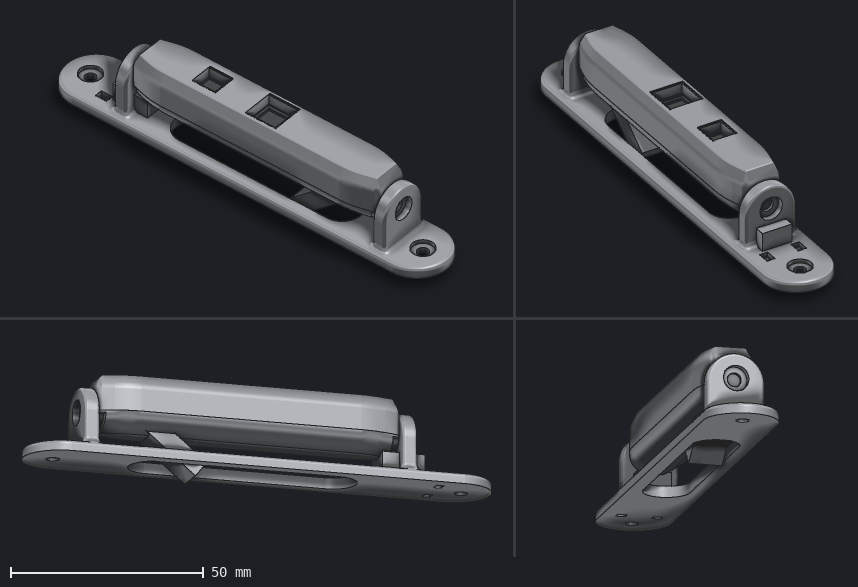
import cadquery as cq
import math

base_length = 127.4
base_width = 20.0
base_thickness = 3.0
base_edge_round = 1.2
screw_spacing = 111.4
screw_diameter = 3.4
screw_head_diameter = 6.8
screw_head_depth = 1.2
slot_length = 62.0
slot_width = 12.5
snap_hole_x = -47.3
snap_hole_y = 4.8
snap_hole_length = 3.6
snap_hole_width = 2.4
snap_hole_opening = 1.9
snap_step_depth = 1.5

handle_x = 3.9
ear_gap = 82.7
ear_thickness = 4.0
ear_width = 15.4
ear_arc_z = 12.0
ear_edge_round = 0.8
ear_foot_radius = 1.9
axis_z = 13.0
pin_diameter = 3.7
pin_head_diameter = 6.8
pin_head_depth = 1.9
pin_recess = 1.0
pin_reach = 5.0

handle_width = 15.4
handle_straight = 60.0
handle_arc_length = 6.9
handle_nose_drop = 1.0
handle_corner_radius = 1.75
handle_bottom_z = 7.6
split_z = 12.8
cover_shoulder_z = 19.5
cover_top_z = 22.8
cover_draft = 27.0
cover_shoulder_round = 3.5
cover_top_round = 0.6
lower_rim = 0.6
lower_length = 78.4
lower_bevel_height = 2.9
lower_bevel_width = 4.4
lower_bevel_round = 4.2
collar_radius = 4.2

small_window_x = -14.75
small_window_size = (7.7, 7.3)
large_window_x = 5.35
large_window_size = (10.0, 10.0)
window_ledge = 0.4
window_ledge_depth = 0.3
window_depth = 3.3
tray_pocket_depth = 0.8
tray_thickness = 1.6
tray_border = 0.8
large_tray_clearance = 1.4

block_start_x = -44.5
block_length = 11.6
block_width = 9.0
block_top_z = 8.4
prop_tip = (18.2, -2.5)
prop_angle = 39.5
prop_thickness = 5.0
prop_length = 17.6

near = 0.05

handle_half_length = ear_gap / 2
handle_half_width = handle_width / 2
ear_inner_faces = [(handle_x - handle_half_length, -1), (handle_x + handle_half_length, 1)]

windows = [
    (small_window_x, small_window_size, 0.0),
    (large_window_x, large_window_size, large_tray_clearance),
]


def box(x0, x1, y0, y1, z0, z1):
    return cq.Workplane("XY").box(x1 - x0, y1 - y0, z1 - z0, centered=False).translate((x0, y0, z0))


def x_cylinder(diameter, x0, length):
    """Cylinder along X on the pivot axis, growing by a signed length from x0."""
    return cq.Workplane("YZ", origin=(x0, 0, axis_z)).circle(diameter / 2).extrude(length)


def make_block():
    return box(block_start_x, block_start_x + block_length, -block_width / 2, block_width / 2,
               base_thickness, block_top_z)


def make_prop():
    angle = math.radians(prop_angle)
    along = (math.cos(angle), math.sin(angle))
    tip_x, tip_z = prop_tip
    far = (tip_x + prop_length * along[0], tip_z + prop_length * along[1])
    step = (-prop_thickness * along[1], prop_thickness * along[0])
    outline = [prop_tip, far, (far[0] + step[0], far[1] + step[1]), (tip_x + step[0], tip_z + step[1])]
    return cq.Workplane("XZ").polyline(outline).close().extrude(block_width / 2, both=True)


def make_ear(inner_x, side):
    half = ear_width / 2
    ear = (
        cq.Workplane("YZ", origin=(inner_x, 0, 0))
        .moveTo(-half, base_thickness / 2)
        .lineTo(-half, ear_arc_z)
        .threePointArc((0, ear_arc_z + half), (half, ear_arc_z))
        .lineTo(half, base_thickness / 2)
        .close()
        .extrude(side * ear_thickness)
    )
    return ear.faces("<X or >X").edges("not <Z").fillet(ear_edge_round)


def round_ear_feet(plate):
    """Blend both ears into the top of the plate."""
    low = (-screw_spacing / 2, -ear_width / 2 - near, base_thickness - near)
    high = (screw_spacing / 2, ear_width / 2 + near, base_thickness + near)
    return plate.edges(cq.selectors.BoxSelector(low, high)).fillet(ear_foot_radius)


def make_base():
    plate = (
        cq.Workplane("XY").slot2D(base_length, base_width).extrude(base_thickness)
        .faces(">Z").edges().fillet(base_edge_round)
    )
    for inner_x, side in ear_inner_faces:
        plate = plate.union(make_ear(inner_x, side))
    plate = round_ear_feet(plate)

    screws = [(-screw_spacing / 2, 0), (screw_spacing / 2, 0)]
    top = cq.Workplane("XY", origin=(0, 0, base_thickness)).pushPoints(screws)
    plate = plate.cut(top.circle(screw_diameter / 2).extrude(-base_thickness))
    plate = plate.cut(top.circle(screw_head_diameter / 2).extrude(-screw_head_depth))

    opening = cq.Workplane("XY", origin=(handle_x, 0, 0)).slot2D(slot_length, slot_width)
    plate = plate.cut(opening.extrude(base_thickness))

    x0 = snap_hole_x - snap_hole_length / 2
    floor_z = base_thickness - snap_step_depth
    for y in (-snap_hole_y, snap_hole_y):
        y0 = y - snap_hole_width / 2
        y1 = y + snap_hole_width / 2
        plate = plate.cut(box(x0, x0 + snap_hole_opening, y0, y1, 0, base_thickness))
        plate = plate.cut(box(x0, x0 + snap_hole_length, y0, y1, floor_z, base_thickness))

    for inner_x, side in ear_inner_faces:
        outer_x = inner_x + side * ear_thickness
        plate = plate.cut(x_cylinder(pin_diameter, outer_x, -side * ear_thickness))
        plate = plate.cut(x_cylinder(pin_head_diameter, outer_x, -side * pin_head_depth))
    return plate.cut(make_block())


def make_pin(inner_x, side):
    shank = ear_thickness - pin_head_depth - pin_recess
    return x_cylinder(pin_diameter, inner_x + side * shank, -side * (shank + pin_reach))


def handle_outline(z):
    """Plan of the handle: straight flanks, then arcs and straight tapers to the two ends."""
    half = handle_straight / 2
    arc_x = half + handle_arc_length
    arc_y = handle_half_width - handle_nose_drop
    radius = (handle_arc_length**2 + handle_nose_drop**2) / (2 * handle_nose_drop)
    sweep = math.asin(handle_arc_length / radius)
    mid = (half + radius * math.sin(sweep / 2), handle_half_width - radius * (1 - math.cos(sweep / 2)))
    end_y = arc_y - (handle_half_length - arc_x) * math.tan(sweep)
    return (
        cq.Workplane("XY", origin=(handle_x, 0, z))
        .moveTo(-half, handle_half_width)
        .lineTo(half, handle_half_width)
        .threePointArc(mid, (arc_x, arc_y))
        .lineTo(handle_half_length, end_y)
        .lineTo(handle_half_length, -end_y)
        .lineTo(arc_x, -arc_y)
        .threePointArc((mid[0], -mid[1]), (half, -handle_half_width))
        .lineTo(-half, -handle_half_width)
        .threePointArc((-mid[0], -mid[1]), (-arc_x, -arc_y))
        .lineTo(-handle_half_length, -end_y)
        .lineTo(-handle_half_length, end_y)
        .lineTo(-arc_x, arc_y)
        .threePointArc((-mid[0], mid[1]), (-half, handle_half_width))
        .close()
    )


def rounded_blank(z0, z1):
    """Upright body of the handle plan with its four end corners rounded."""
    blank = handle_outline(z0).extrude(z1 - z0)
    return blank.edges("|Z and (<X or >X)").fillet(handle_corner_radius)


def edges_at(body, z):
    """All edges of a handle half that lie in the horizontal plane at z."""
    low = (handle_x - base_length, -base_width, z - near)
    high = (handle_x + base_length, base_width, z + near)
    return body.edges(cq.selectors.BoxSelector(low, high))


def centred_box(x, size, z0, z1):
    length, width = size
    return box(x - length / 2, x + length / 2, -width / 2, width / 2, z0, z1)


def sight_size(window_size):
    """Window opening below the ledge, which runs along three sides."""
    return (window_size[0] - window_ledge, window_size[1] - 2 * window_ledge)


def tray_size(window_size):
    return tuple(side + 2 * tray_border for side in sight_size(window_size))


def make_tray(window_x, window_size, clearance):
    """Shallow tray that closes a window from below."""
    x = window_x - window_ledge / 2
    top = cover_top_z - window_depth - clearance
    tray = centred_box(x, tray_size(window_size), top - tray_thickness, top)
    return tray.cut(centred_box(x, sight_size(window_size), top - tray_pocket_depth, top))


def make_window_cut(window_x, window_size, clearance):
    """Ledge, opening and tray chamber of one window."""
    x = window_x - window_ledge / 2
    roof = cover_top_z - window_depth
    chamber = centred_box(x, tray_size(window_size), roof - clearance - tray_thickness, roof)
    opening = centred_box(x, sight_size(window_size), roof, cover_top_z)
    ledge = centred_box(window_x, window_size, cover_top_z - window_ledge_depth, cover_top_z)
    return chamber.union(opening).union(ledge)


def make_cover():
    wall = rounded_blank(split_z, cover_shoulder_z)
    crown = (
        wall.faces(">Z").wires().toPending().workplane()
        .extrude(cover_top_z - cover_shoulder_z, taper=cover_draft, combine=False)
    )
    cover = wall.union(crown)
    cover = cover.faces(">Z").edges().fillet(cover_top_round)
    cover = edges_at(cover, cover_shoulder_z).fillet(cover_shoulder_round)
    for window in windows:
        cover = cover.cut(make_window_cut(*window))
    for inner_x, side in ear_inner_faces:
        cover = cover.cut(make_pin(inner_x, side))
    return cover


def make_lower():
    lower = handle_outline(handle_bottom_z).extrude(split_z - handle_bottom_z)
    flanks = lower.faces("<Z").edges("not (<X or >X)")
    lower = flanks.chamfer(lower_bevel_height, lower_bevel_width)
    lower = edges_at(lower, handle_bottom_z + lower_bevel_height).fillet(lower_bevel_round)
    lower = lower.intersect(rounded_blank(handle_bottom_z, split_z))

    rim_z = split_z - lower_rim
    end_x = lower_length / 2
    for inner_x, side in ear_inner_faces:
        stop_x = handle_x + side * end_x
        x0, x1 = sorted((inner_x, stop_x))
        gap = box(x0, x1, -base_width, base_width, handle_bottom_z, rim_z)
        collar = x_cylinder(2 * collar_radius, stop_x, inner_x - stop_x)
        lower = lower.cut(gap.cut(collar))
        lower = lower.union(collar.intersect(gap))
        lower = lower.cut(make_pin(inner_x, side))
    return lower.cut(make_block()).cut(make_prop())


base = make_base()
cover = make_cover()
lower = make_lower()
block = make_block()
prop = make_prop()
pins = [make_pin(inner_x, side) for inner_x, side in ear_inner_faces]
trays = [make_tray(*window) for window in windows]

result = cq.Compound.makeCompound([
    base.val(),
    cover.val(),
    lower.val(),
    block.val(),
    prop.val(),
    *[pin.val() for pin in pins],
    *[tray.val() for tray in trays],
])